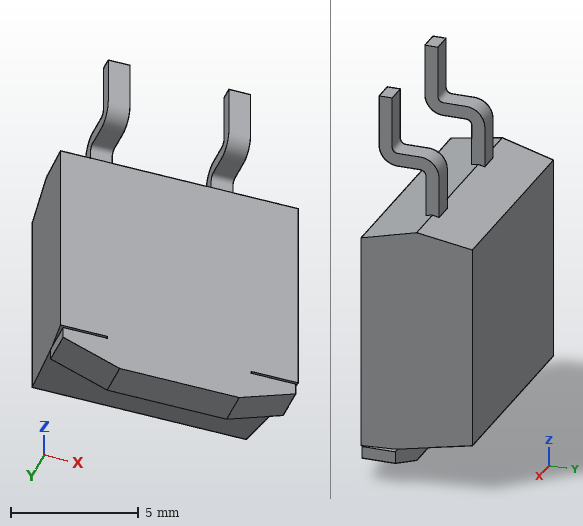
import cadquery as cq

body_front_width = 10.0
body_back_width = 9.0
body_depth = 4.5
body_bottom = 1.5
body_back_bottom = 2.0
body_shoulder = 10.5
body_ridge = 11.0
ridge_y = body_depth / 2

tab_thickness = 1.4
tab_width = 9.78
tab_tip_width = 5.02
tab_corner = 0.9
tab_top = 1.4
slug_width = 6.05
slug_top = 6.51

lead_spacing = 5.07
lead_width = 0.92
lead_thickness = 0.55
lead_top = 15.8
lead_step = 12.88
bend_outer_radius = 0.79
bend_inner_radius = bend_outer_radius - lead_thickness
lead_embedding = 0.79


def make_body():
    """Side profile with a ridged top, narrowed towards the back by the side draft."""
    side_profile = [
        (0, body_bottom),
        (0, body_shoulder),
        (ridge_y, body_ridge),
        (body_depth, body_shoulder),
        (body_depth, body_back_bottom),
        (tab_thickness, body_bottom),
    ]
    plan = [
        (-body_front_width / 2, 0),
        (body_front_width / 2, 0),
        (body_back_width / 2, body_depth),
        (-body_back_width / 2, body_depth),
    ]
    block = cq.Workplane("YZ").polyline(side_profile).close().extrude(body_front_width / 2, both=True)
    drafted_sides = cq.Workplane("XY").polyline(plan).close().extrude(body_ridge)
    return block.intersect(drafted_sides)


def make_tab():
    """Tapered tab below the body, with a narrower slug set into the body's front face."""
    right_half = [
        (tab_tip_width / 2, 0),
        (tab_width / 2, tab_corner),
        (tab_width / 2, tab_top),
        (slug_width / 2, tab_top),
        (slug_width / 2, slug_top),
    ]
    left_half = [(-x, z) for x, z in reversed(right_half)]
    outline = cq.Workplane("XZ").polyline(right_half + left_half).close()
    return outline.extrude(-tab_thickness)


def make_lead(center_x):
    """Flat strip that leaves the body at its ridge and steps forward to the front face."""
    root_front = ridge_y - lead_thickness / 2
    root_back = ridge_y + lead_thickness / 2
    root = body_ridge - lead_embedding
    step_top = lead_step + lead_thickness
    profile = [
        (root_front, root),
        (root_front, lead_step),
        (0, lead_step),
        (0, lead_top),
        (lead_thickness, lead_top),
        (lead_thickness, step_top),
        (root_back, step_top),
        (root_back, root),
    ]
    outer_corners = [(0, lead_step), (root_back, step_top)]
    inner_corners = [(root_front, lead_step), (lead_thickness, step_top)]
    lead = cq.Workplane("YZ").polyline(profile).close().extrude(lead_width / 2, both=True)
    for corners, radius in ((outer_corners, bend_outer_radius), (inner_corners, bend_inner_radius)):
        for y, z in corners:
            lead = lead.edges(cq.selectors.NearestToPointSelector((0, y, z))).fillet(radius)
    return lead.translate((center_x, 0, 0))


tab = make_tab()
result = make_body().cut(tab).union(tab, clean=False)
for side in (-1, 1):
    result = result.union(make_lead(side * lead_spacing / 2), clean=False)